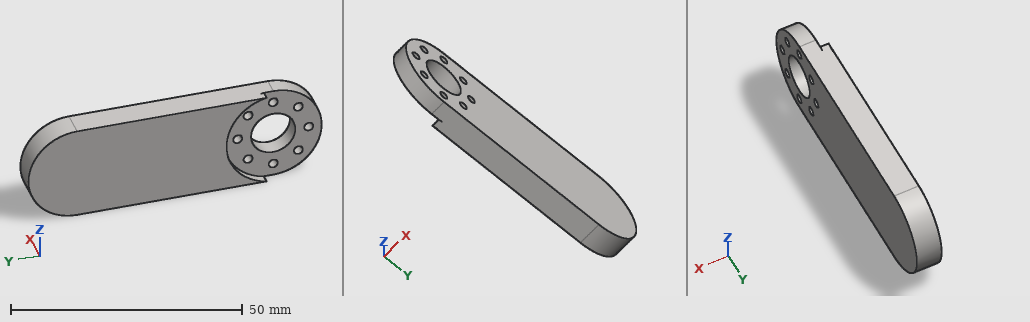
import cadquery as cq

length = 67.0
width = 22.0
thickness = 6.0

recess_depth = 2.0
recess_radius = 11.2

bore_diameter = 10.0
bolt_hole_diameter = 2.0
bolt_circle_radius = 8.05
bolt_count = 8

pivot_y = -(length - width) / 2

bar = cq.Workplane("YZ").slot2D(length, width).extrude(thickness)

recess = cq.Workplane("YZ").center(pivot_y, 0).circle(recess_radius).extrude(recess_depth)

bore = cq.Workplane("YZ").center(pivot_y, 0).circle(bore_diameter / 2).extrude(thickness)
bolt_holes = (
    cq.Workplane("YZ")
    .center(pivot_y, 0)
    .polarArray(bolt_circle_radius, 0, 360, bolt_count)
    .circle(bolt_hole_diameter / 2)
    .extrude(thickness)
)

result = bar.cut(recess).cut(bore).cut(bolt_holes)